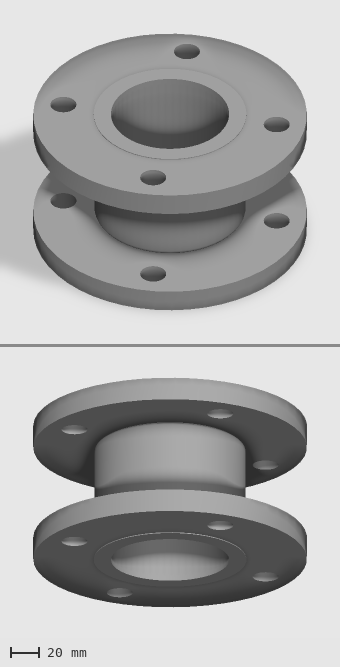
import cadquery as cq

flange_diameter = 190.0
overall_height = 100.0

flange_thickness = 16.0
raised_face_diameter = 106.0
raised_face_height = 0.5

barrel_diameter = 105.0
barrel_fillet = 3.0
neck_height = 0.5

bore_diameter = 82.0
bolt_hole_diameter = 18.0
bolt_hole_count = 4
bolt_circle_diameter = 150.0
first_bolt_angle = 45

half_height = overall_height / 2
flange_outer_z = half_height - raised_face_height
flange_inner_z = flange_outer_z - flange_thickness
barrel_end_z = flange_inner_z - neck_height
neck_diameter = barrel_diameter - 2 * barrel_fillet


def disc(diameter, bottom_z, top_z):
    """Solid disc on the Z axis between two heights."""
    return cq.Workplane("XY").workplane(offset=bottom_z).circle(diameter / 2).extrude(top_z - bottom_z)


def flange_with_raised_face():
    """Upper flange with its raised sealing face and bolt holes."""
    flange = disc(flange_diameter, flange_inner_z, flange_outer_z)
    raised_face = disc(raised_face_diameter, flange_outer_z, half_height)
    bolt_holes = (
        cq.Workplane("XY")
        .workplane(offset=flange_inner_z)
        .polarArray(bolt_circle_diameter / 2, first_bolt_angle, 360, bolt_hole_count)
        .circle(bolt_hole_diameter / 2)
        .extrude(flange_thickness)
    )
    return flange.cut(bolt_holes).union(raised_face)


barrel = disc(barrel_diameter, -barrel_end_z, barrel_end_z)
barrel = barrel.edges("%CIRCLE").fillet(barrel_fillet)
neck = disc(neck_diameter, -flange_inner_z, flange_inner_z)

upper_flange = flange_with_raised_face()
lower_flange = upper_flange.mirror("XY")

bore = disc(bore_diameter, -half_height, half_height)

result = barrel.union(neck).union(upper_flange).union(lower_flange).cut(bore)